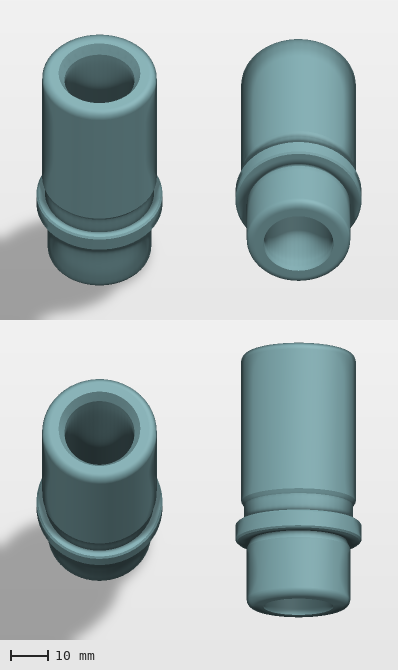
import cadquery as cq
import math

total_height = 70.0

sleeve_diameter = 30.95
neck_diameter = 29.55
flange_diameter = 34.0
spigot_diameter = 28.0
spigot_undercut = 0.9

spigot_taper_start = 16.0
flange_bottom = 18.05
flange_thickness = 5.0
neck_top = 28.0
sleeve_taper_height = 1.2

end_fillet = 2.0
flange_chamfer = 0.5

bore_diameter = 18.9
lead_in_diameter = 22.05
lead_in_half_angle = math.radians(30)

sleeve_radius = sleeve_diameter / 2
neck_radius = neck_diameter / 2
flange_radius = flange_diameter / 2
spigot_radius = spigot_diameter / 2
bore_radius = bore_diameter / 2
lead_in_radius = lead_in_diameter / 2

flange_top = flange_bottom + flange_thickness
sleeve_bottom = neck_top + sleeve_taper_height
lead_in_depth = (lead_in_radius - bore_radius) / math.tan(lead_in_half_angle)
fillet_mid_inset = end_fillet * (1 - math.sqrt(0.5))

half_section = (
    cq.Workplane("XZ")
    .moveTo(bore_radius, 0)
    .lineTo(spigot_radius - end_fillet, 0)
    .threePointArc(
        (spigot_radius - fillet_mid_inset, fillet_mid_inset),
        (spigot_radius, end_fillet),
    )
    .lineTo(spigot_radius, spigot_taper_start)
    .lineTo(spigot_radius - spigot_undercut, flange_bottom)
    .lineTo(flange_radius - flange_chamfer, flange_bottom)
    .lineTo(flange_radius, flange_bottom + flange_chamfer)
    .lineTo(flange_radius, flange_top - flange_chamfer)
    .lineTo(flange_radius - flange_chamfer, flange_top)
    .lineTo(neck_radius, flange_top)
    .lineTo(neck_radius, neck_top)
    .lineTo(sleeve_radius, sleeve_bottom)
    .lineTo(sleeve_radius, total_height - end_fillet)
    .threePointArc(
        (sleeve_radius - fillet_mid_inset, total_height - fillet_mid_inset),
        (sleeve_radius - end_fillet, total_height),
    )
    .lineTo(lead_in_radius, total_height)
    .lineTo(bore_radius, total_height - lead_in_depth)
    .close()
)

result = half_section.revolve(360, (0, 0, 0), (0, 1, 0))